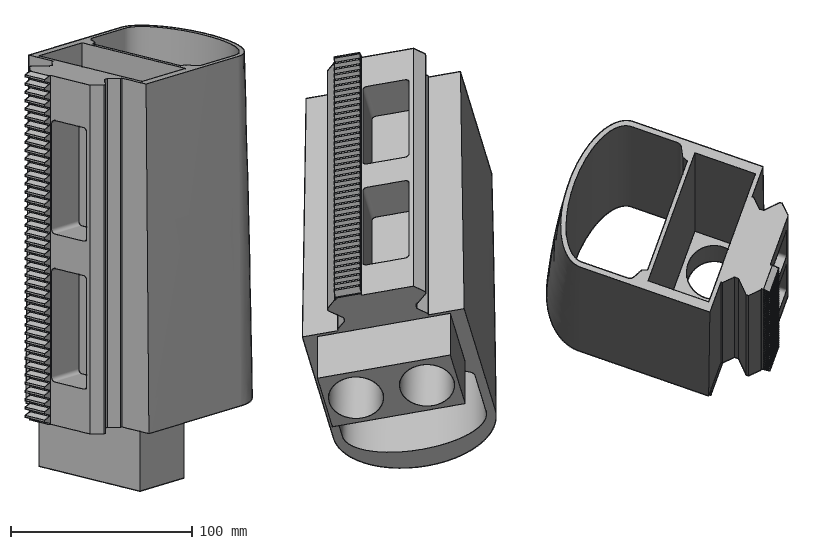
import cadquery as cq


total_height = 235.0
body_bottom = 35.0
body_height = total_height - body_bottom

top_half_width = 43.7
bottom_half_width = 45.8
arch_start = 76.0
top_arch_depth = 22.0
bottom_arch_depth = 31.5
mid_taper = 0.6

wall = 3.0
chamber_half_width = top_half_width - wall
chamber_arch_depth = top_arch_depth - wall
chamber_front = 40.5
chamber_front_half_width = 32.7
step_point = (33.8, 43.5)
corner_end = (38.8, 46.0)
corner_mid = (40.2, 47.5)
corner_start_y = 49.5

channel_width = 76.8
channel_front = 2.5
channel_back = 38.0
channel_floor = 5.0

plug_width = 75.2
plug_front = 1.6
plug_back = 38.0
bore_diameter = 30.3
bore_spacing = 40.2
bore_y = (channel_front + channel_back) / 2

rail_depth = 22.3
overlap = 1.2
rail_half_profile = [
    (25.5, -overlap),
    (25.5, 1.0),
    (20.5, 6.0),
    (20.5, 8.5),
    (27.7, 15.5),
    (27.7, 17.0),
    (22.3, rail_depth),
]

rack_left = -21.5
rack_right = -7.0
rack_base_depth = 1.2
rack_reach = 5.0
tooth_count = 42
tooth_pitch = body_height / tooth_count
tooth_root = 4.0
tooth_tip = 1.2

window_left = -6.3
window_right = 19.7
window_height = 65.0
window_corner = 2.3
window_centers = (92.3, 177.2)


def make_body():
    """Loft the tapered body through outlines at its bottom, middle and top."""
    body = cq.Workplane("XY").workplane(offset=body_bottom)
    for taper in (1.0, mid_taper, 0.0):
        half_width = top_half_width + taper * (bottom_half_width - top_half_width)
        arch_depth = top_arch_depth + taper * (bottom_arch_depth - top_arch_depth)
        body = (
            body.moveTo(-half_width, 0)
            .lineTo(half_width, 0)
            .lineTo(half_width, arch_start)
            .ellipseArc(half_width, arch_depth, 0, 180)
            .close()
        )
        if taper > 0:
            body = body.workplane(offset=body_height / 2)
    return body.loft(ruled=False)


def make_chamber():
    """Rear chamber with a stepped, rounded corner on each side of its front wall."""
    return (
        cq.Workplane("XY", origin=(0, 0, body_bottom))
        .moveTo(-chamber_front_half_width, chamber_front)
        .lineTo(chamber_front_half_width, chamber_front)
        .lineTo(*step_point)
        .lineTo(*corner_end)
        .threePointArc(corner_mid, (chamber_half_width, corner_start_y))
        .lineTo(chamber_half_width, arch_start)
        .ellipseArc(chamber_half_width, chamber_arch_depth, 0, 180)
        .lineTo(-chamber_half_width, corner_start_y)
        .threePointArc((-corner_mid[0], corner_mid[1]), (-corner_end[0], corner_end[1]))
        .lineTo(-step_point[0], step_point[1])
        .close()
        .extrude(body_height)
    )


def box_between(width, front, back, bottom, top):
    """Box centred on X = 0, placed by its Y and Z limits."""
    return (
        cq.Workplane("XY", origin=(0, (front + back) / 2, bottom))
        .rect(width, back - front)
        .extrude(top - bottom)
    )


def make_bores():
    return (
        cq.Workplane("XY", origin=(0, bore_y, 0))
        .pushPoints([(-bore_spacing / 2, 0), (bore_spacing / 2, 0)])
        .circle(bore_diameter / 2)
        .extrude(total_height)
    )


def make_rail():
    right_side = [(x, -depth) for x, depth in rail_half_profile]
    left_side = [(-x, y) for x, y in reversed(right_side)]
    return (
        cq.Workplane("XY", origin=(0, 0, body_bottom))
        .polyline(right_side + left_side)
        .close()
        .extrude(body_height)
    )


def make_windows():
    """Rounded windows reaching from the rail face back to the front of the body."""
    center_x = (window_left + window_right) / 2
    return (
        cq.Workplane("XZ")
        .pushPoints([(center_x, z) for z in window_centers])
        .rect(window_right - window_left, window_height)
        .extrude(rail_depth)
        .edges("|Y")
        .fillet(window_corner)
    )


def make_rack():
    """Full-length rack with evenly pitched trapezoidal teeth, drawn in the YZ plane."""
    root_y = -(rail_depth + rack_base_depth)
    tip_y = -(rail_depth + rack_reach)
    outline = [(-rail_depth + overlap, body_bottom)]
    outline.append((root_y, body_bottom))
    for i in range(tooth_count):
        center = total_height - tooth_root / 2 - (tooth_count - 1 - i) * tooth_pitch
        outline.append((root_y, center - tooth_root / 2))
        outline.append((tip_y, center - tooth_tip / 2))
        outline.append((tip_y, center + tooth_tip / 2))
        outline.append((root_y, center + tooth_root / 2))
    outline.append((-rail_depth + overlap, total_height))
    return (
        cq.Workplane("YZ", origin=(rack_left, 0, 0))
        .polyline(outline)
        .close()
        .extrude(rack_right - rack_left)
    )


rail = make_rail().cut(make_windows()).union(make_rack())
channel_bottom = body_bottom + channel_floor
channel = box_between(channel_width, channel_front, channel_back, channel_bottom, total_height)
plug = box_between(plug_width, plug_front, plug_back, 0, channel_bottom)

result = make_body().cut(make_chamber()).union(rail).cut(channel).union(plug).cut(make_bores())